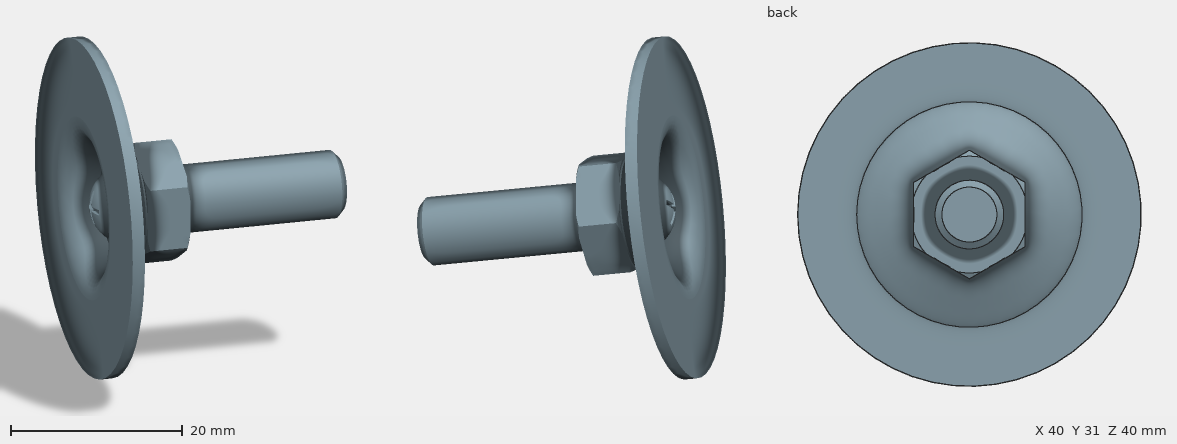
import cadquery as cq
import math

plate_radius = 20.0
plate_thickness = 1.5
cone_base_radius = 13.1
collar_radius = 6.5
collar_start = 5.6

flare_radius = 4.0
recess_radius = 6.75

nut_across_flats = 2 * collar_radius
nut_start = 5.8
nut_end = 11.0
nut_face_radius = 6.8
nut_chamfer_height = 0.35

stud_radius = 4.0
stud_end = 31.0
stud_chamfer = 0.8

head_rim_height = 1.0
head_dome_height = 2.2
cross_length = 4.0
cross_width = 0.65
cross_depth = 1.2


def revolve_about_y(profile):
    """Turn a closed (radius, Y) profile a full circle about the Y axis."""
    return profile.close().revolve(360, (0, 0, 0), (0, 1, 0))


def make_plate():
    """Flat disc with a conical back and a flared round recess in front."""
    arc_side = flare_radius * math.sqrt(0.5)
    flare_center = recess_radius + flare_radius
    return revolve_about_y(
        cq.Workplane("XY")
        .moveTo(0, flare_radius)
        .lineTo(recess_radius, flare_radius)
        .threePointArc(
            (flare_center - arc_side, flare_radius - arc_side),
            (flare_center, 0),
        )
        .lineTo(plate_radius, 0)
        .lineTo(plate_radius, plate_thickness)
        .lineTo(cone_base_radius, plate_thickness)
        .lineTo(collar_radius, collar_start)
        .lineTo(collar_radius, nut_start)
        .lineTo(0, nut_start)
    )


def make_nut():
    """Hexagon with corners at +Z and -Z, chamfered on both faces."""
    corner_radius = nut_across_flats / math.sqrt(3)
    hexagon = (
        cq.Workplane("XZ", origin=(0, nut_start, 0))
        .polygon(6, 2 * corner_radius)
        .extrude(nut_start - nut_end)
        .rotate((0, 0, 0), (0, 1, 0), 30)
    )
    chamfer_envelope = revolve_about_y(
        cq.Workplane("XY")
        .moveTo(0, nut_start)
        .lineTo(nut_face_radius, nut_start)
        .lineTo(corner_radius, nut_start + nut_chamfer_height)
        .lineTo(corner_radius, nut_end - nut_chamfer_height)
        .lineTo(nut_face_radius, nut_end)
        .lineTo(0, nut_end)
    )
    return hexagon.intersect(chamfer_envelope)


def make_stud():
    """Stud with a chamfered end and a domed head in the recess."""
    rim = flare_radius - head_rim_height
    tip = rim - head_dome_height
    sphere_radius = (stud_radius**2 + head_dome_height**2) / (2 * head_dome_height)
    half_angle = math.asin(stud_radius / sphere_radius) / 2
    dome_middle = (
        sphere_radius * math.sin(half_angle),
        tip + sphere_radius * (1 - math.cos(half_angle)),
    )
    stud = revolve_about_y(
        cq.Workplane("XY")
        .moveTo(0, tip)
        .threePointArc(dome_middle, (stud_radius, rim))
        .lineTo(stud_radius, stud_end - stud_chamfer)
        .lineTo(stud_radius - stud_chamfer, stud_end)
        .lineTo(0, stud_end)
    )
    slot_floor = tip + cross_depth
    for size_x, size_z in ((cross_length, cross_width), (cross_width, cross_length)):
        slot = (
            cq.Workplane("XZ", origin=(0, slot_floor, 0))
            .rect(size_x, size_z)
            .extrude(slot_floor)
        )
        stud = stud.cut(slot)
    return stud


result = make_plate().union(make_nut()).union(make_stud())